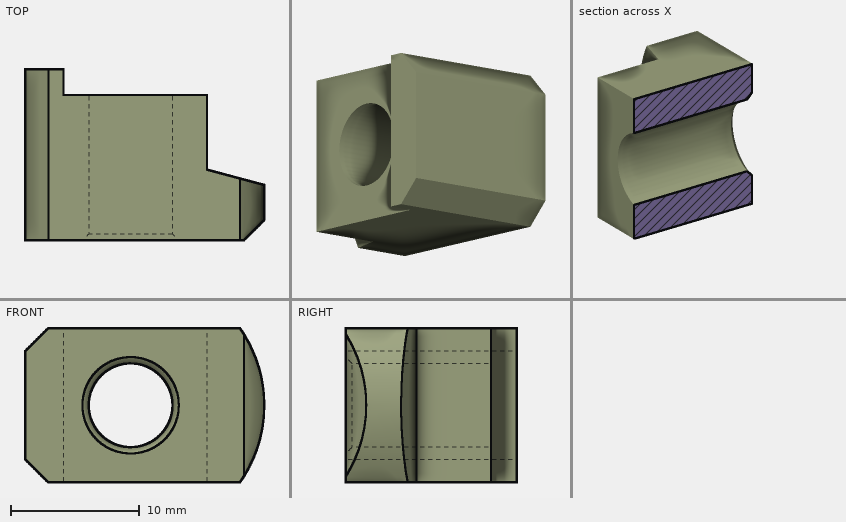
import cadquery as cq
import math


height = 12.0
depth = 13.3
back_to_axis = 8.2
nose_radius = 10.4
corner_chamfer = 1.8

lip_length = 3.0
body_depth = 11.3
axis_to_shoulder = 5.95
toe_depth = 5.5
toe_slope_angle = 15.0
nose_bevel = 1.6

bore_diameter = 6.5
bore_chamfer = 0.5

half_height = height / 2


def make_profile():
    """Block with a rear lip, a main body and a sloped, bevelled toe."""
    left = -back_to_axis
    toe_drop = (nose_radius - axis_to_shoulder) * math.tan(math.radians(toe_slope_angle))
    return (
        cq.Workplane("XY", origin=(0, 0, -half_height))
        .moveTo(left, 0)
        .lineTo(nose_radius - nose_bevel, 0)
        .lineTo(nose_radius, nose_bevel)
        .lineTo(nose_radius, toe_depth - toe_drop)
        .lineTo(axis_to_shoulder, toe_depth)
        .lineTo(axis_to_shoulder, body_depth)
        .lineTo(left + lip_length, body_depth)
        .lineTo(left + lip_length, depth)
        .lineTo(left, depth)
        .close()
        .extrude(height)
    )


def make_outline():
    """Face outline along Y: two chamfered corners and a nose arc centred on the bore."""
    left = -back_to_axis
    arc_start = math.sqrt(nose_radius**2 - half_height**2)
    chamfer_z = half_height - corner_chamfer
    return (
        cq.Workplane("XZ")
        .moveTo(left, -chamfer_z)
        .lineTo(left + corner_chamfer, -half_height)
        .lineTo(arc_start, -half_height)
        .threePointArc((nose_radius, 0), (arc_start, half_height))
        .lineTo(left + corner_chamfer, half_height)
        .lineTo(left, chamfer_z)
        .close()
        .extrude(-depth)
    )


def cut_bore(body):
    """Through bore along Y with a 45 degree chamfer at the front face."""
    bore_radius = bore_diameter / 2
    mouth_radius = bore_radius + bore_chamfer
    cutter = (
        cq.Workplane("XY")
        .moveTo(0, 0)
        .lineTo(mouth_radius, 0)
        .lineTo(bore_radius, bore_chamfer)
        .lineTo(bore_radius, depth)
        .lineTo(0, depth)
        .close()
        .revolve(360, (0, 0, 0), (0, 1, 0))
    )
    return body.cut(cutter)


block = make_profile().intersect(make_outline())
result = cut_bore(block)